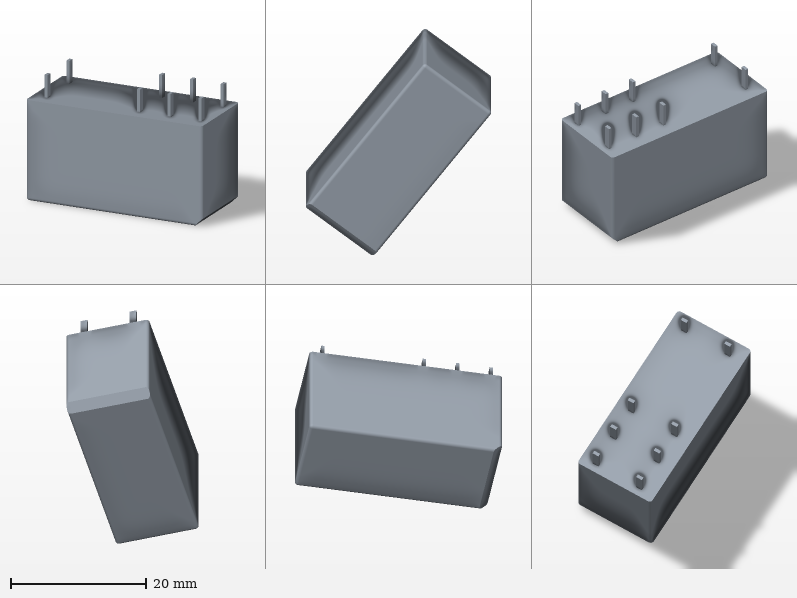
import cadquery as cq

length = 29.0
width = 12.7
overall_height = 19.3
pin_height = 3.6
housing_height = overall_height - pin_height
edge_radius = 0.5
corner_chamfer = 1.25

pin_thickness = 0.5
pin_width = 1.0
first_pin_inset = 2.35
coil_to_contact_gap = 15.25
contact_pitch = 5.05
contacts_per_row = 3
row_pitch = 7.5
row_offset = -0.1

first_pin_x = first_pin_inset - length / 2
first_contact_x = first_pin_x + coil_to_contact_gap
pin_columns = [first_pin_x] + [first_contact_x + i * contact_pitch for i in range(contacts_per_row)]
pin_rows = [row_offset - row_pitch / 2, row_offset + row_pitch / 2]


def make_housing():
    """Block with rounded upright and bottom edges and one bevelled bottom end at +X."""
    block = cq.Workplane("XY").box(length, width, housing_height, centered=(True, True, False))
    rounded = block.edges("|Z or <Z").fillet(edge_radius)
    bevel = (
        cq.Workplane("XZ")
        .moveTo(length / 2 - corner_chamfer, 0)
        .lineTo(length / 2, 0)
        .lineTo(length / 2, corner_chamfer)
        .close()
        .extrude(width / 2, both=True)
    )
    return rounded.cut(bevel)


def make_pins():
    """Rectangular pins standing on the top face of the housing."""
    places = [(x, y) for x in pin_columns for y in pin_rows]
    return (
        cq.Workplane("XY", origin=(0, 0, housing_height))
        .pushPoints(places)
        .rect(pin_thickness, pin_width)
        .extrude(pin_height)
    )


result = make_housing().union(make_pins())